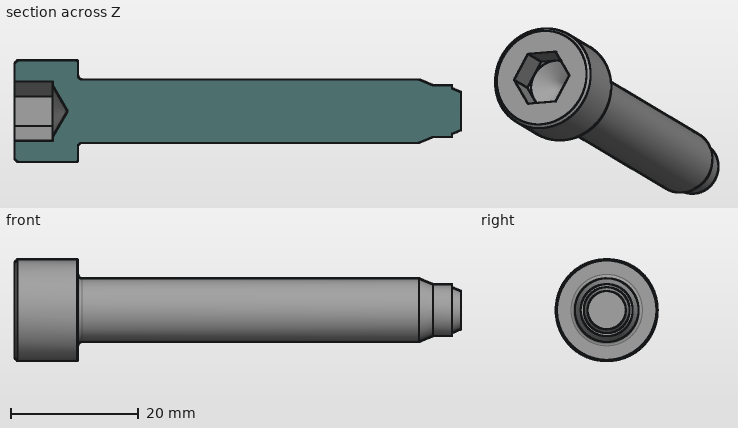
import cadquery as cq
import math

total_length = 70.0
head_length = 10.0
tip_length = 1.4
pilot_length = 3.0
taper_length = 2.2
tip_start = total_length - tip_length
pilot_start = tip_start - pilot_length
taper_start = pilot_start - taper_length

head_radius = 16.0 / 2
shank_radius = 10.0 / 2
pilot_radius = 8.16 / 2
tip_base_radius = 7.2 / 2
tip_end_radius = 6.0 / 2

head_chamfer = 0.5
head_underside_chamfer = 0.2
neck_fillet = 0.6

socket_across_flats = 8.0
socket_depth = 6.0
socket_cone_angle = 120.0


def make_body():
    """Revolve the half outline of head, shank, taper, pilot and tip about X."""
    fillet_end = head_length + neck_fillet
    fillet_mid_offset = neck_fillet * (1 - math.sqrt(0.5))
    fillet_mid = (head_length + fillet_mid_offset, shank_radius + fillet_mid_offset)
    return (
        cq.Workplane("XY")
        .moveTo(0, 0)
        .lineTo(0, head_radius - head_chamfer)
        .lineTo(head_chamfer, head_radius)
        .lineTo(head_length - head_underside_chamfer, head_radius)
        .lineTo(head_length, head_radius - head_underside_chamfer)
        .lineTo(head_length, shank_radius + neck_fillet)
        .threePointArc(fillet_mid, (fillet_end, shank_radius))
        .lineTo(taper_start, shank_radius)
        .lineTo(pilot_start, pilot_radius)
        .lineTo(tip_start, pilot_radius)
        .lineTo(tip_start, tip_base_radius)
        .lineTo(total_length, tip_end_radius)
        .lineTo(total_length, 0)
        .close()
        .revolve(360, (0, 0, 0), (1, 0, 0))
    )


def make_socket():
    """Hexagonal prism with corners on the Y axis, ending in a drill-point cone."""
    across_corners = socket_across_flats / math.cos(math.pi / 6)
    hexagon = cq.Workplane("YZ").polygon(6, across_corners).extrude(socket_depth)
    cone_radius = socket_across_flats / 2
    cone_height = cone_radius / math.tan(math.radians(socket_cone_angle / 2))
    axis = cq.Vector(1, 0, 0)
    cone = cq.Solid.makeCone(cone_radius, 0, cone_height, cq.Vector(socket_depth, 0, 0), axis)
    return hexagon.union(cq.Workplane(cone))


result = make_body().cut(make_socket())